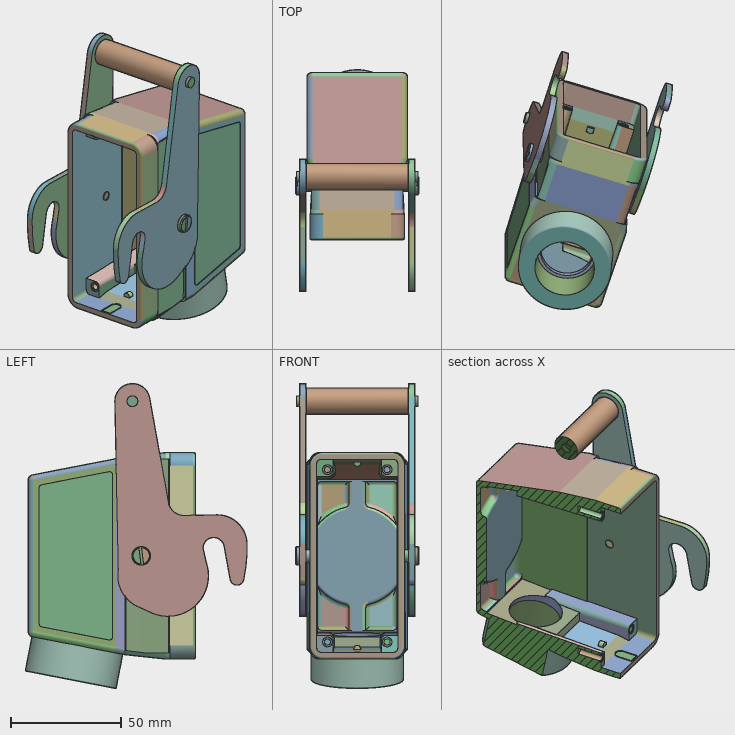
import cadquery as cq
import math


slope = math.radians(11)

back_y = 51.2
back_half_width = 22.85
back_taper_y = 11.5
back_front_y = 7.4
back_front_half_width = 21.8
back_edge_radius = 2.6
back_rim_radius = 2.4
back_front_half_height = 44.8
back_half_height = back_front_half_height - (back_y - back_front_y) * math.tan(slope)

mouth_y = -24.6
mouth_half_width = 21.5
mouth_half_height = 46.8
mouth_corner_radius = 6.0
rim_edge_radius = 1.0
collar_back_y = -13.0
neck_full_height_y = -11.2
neck_edge_radius = 4.5
side_recess_half_width = 20.6
side_recess_half_height = 43.9
side_recess_slant = 0.7

panel_recess_depth = 0.3
panel_front_y = 12.9
panel_back_y = 46.2
panel_roof_gap = 5.3
panel_corner_radius = 1.5

outlet_diameter = 42.0
outlet_end_y = 31.95
outlet_end_z = -56.15
outlet_length = 20.0
outlet_edge_radius = 0.5
outlet_bore_diameter = 26.9
outlet_bore_depth = 17.0
outlet_through_diameter = 24.0
outlet_through_depth = 30.0

wall_drop = 2.85
opening_half_width = 18.35
opening_half_height = 43.7
opening_corner_radius = 2.0
inner_half_width = 17.9
seat_y = -14.5
seat_slope_end_y = -9.0
seat_slope_end_z = 42.5
pad_y = 45.5
pocket_floor_y = 48.7
pad_radius = 22.6
pad_edge_radius = 1.2
pad_strip_half_width = 3.8
pocket_corner_radius = 1.8
pocket_end_gap = 0.8
pocket_floor_radius = 1.8

post_inner_x = 10.9
post_inner_z = 36.0
post_back_y = 30.0
post_edge_radius = 2.0
post_draft = 1.5
screw_x = 13.5
screw_z = 39.0
screw_hole_diameter = 2.8
screw_counterbore_diameter = 4.4
screw_counterbore_depth = 0.5
screw_hole_depth = 12.0

outlet_block_y = 11.0
outlet_block_z = -36.8
keyway_width = 5.0
keyway_depth = 0.4
keyway_end_y = -14.0
key_front_y = -8.2
key_width = 3.2
key_height = 3.2
key_length = 2.5

plate_inner_x = 23.3
plate_thickness = 2.75
plate_outer_x = plate_inner_x + plate_thickness
grip_y = 4.0
grip_z = 70.0
head_radius = 8.0
arm_angle = 9.8
lobe_y = -12.1
lobe_z = -9.0
lobe_radius = 18.4
lobe_flank_angle = 23
lobe_end_angle = 20
heel_start = (10.4, -6.0)
heel_middle = (7.9, -17.7)
heel_end = (2.8, -22.4)
armpit_start = (-19.0, 18.3)
armpit_middle = (-14.7, 20.0)
armpit_end = (-12.4, 23.8)
hook_y = -34.5
hook_z = 5.15
hook_radius = 26.9 / 2
slot_y = -32.8
slot_z = 3.5
slot_radius = 4.75
slot_angle = 10
tip_y = -43.35
tip_z = -10.1
tip_radius = 3.2
hook_outer_middle = (-47.6, -3.5)

grip_diameter = 12.0
grip_chamfer = 0.3
grip_pin_diameter = 4.9
grip_pin_half_length = 27.6

pivot_half_length = 55.8 / 2
pivot_head_diameter = 8.4
pivot_head_chamfer = 0.5
pivot_shank_diameter = 5.6
pivot_tip_diameter = 4.0
pivot_tip_x = 18.0
pivot_slot_width = 1.2
pivot_slot_depth = 0.9
pivot_slot_angle = 7.0

SIDES = (-1, 1)
margin = 0.5


def box_between(x0, x1, y0, y1, z0, z1):
    """Axis-aligned box between two corners."""
    return cq.Workplane("XY").box(x1 - x0, y1 - y0, z1 - z0, centered=False).translate((x0, y0, z0))


def side_prism(points, half_width):
    """Prism with the given Y-Z outline, centred on X = 0."""
    return cq.Workplane("YZ").polyline(points).close().extrude(half_width, both=True)


def rod_x(diameter, x0, x1, y=0.0, z=0.0):
    """Round bar along X."""
    return cq.Workplane("YZ", origin=(x0, 0, 0)).center(y, z).circle(diameter / 2).extrude(x1 - x0)


def mirrored_outline(upper_points):
    """Y-Z outline closed by the mirror image of its upper half."""
    return upper_points + [(y, -z) for y, z in reversed(upper_points)]


def roof_z(y):
    """Outer roof height of the back section."""
    return back_front_half_height - (y - back_front_y) * math.tan(slope)


def make_back_section():
    outline = mirrored_outline([(back_front_y, back_front_half_height), (back_y, back_half_height)])
    plan = [
        (back_front_half_width, back_front_y),
        (back_half_width, back_taper_y),
        (back_half_width, back_y),
        (-back_half_width, back_y),
        (-back_half_width, back_taper_y),
        (-back_front_half_width, back_front_y),
    ]
    block = cq.Workplane("XY").polyline(plan).close().extrude(mouth_half_height, both=True)
    block = block.intersect(side_prism(outline, back_half_width))
    block = block.edges("not(<Y)").edges("not(|Z)").edges("not(|X)").fillet(back_edge_radius)
    return block.faces(">Y").edges().fillet(back_rim_radius)


def make_neck():
    outline = mirrored_outline([
        (collar_back_y, mouth_half_height),
        (neck_full_height_y, mouth_half_height),
        (back_front_y, back_front_half_height),
        (back_taper_y, roof_z(back_taper_y)),
    ])
    neck = side_prism(outline, mouth_half_width)
    return neck.edges("not(|X)").edges("not(|Z)").fillet(neck_edge_radius)


def make_collar():
    collar = box_between(-mouth_half_width, mouth_half_width, mouth_y, collar_back_y,
                         -mouth_half_height, mouth_half_height)
    collar = collar.edges("|Y").fillet(mouth_corner_radius)
    return collar.faces("<Y").edges().fillet(rim_edge_radius)


def outlet_cylinder(diameter, length):
    """Cylinder on the tilted outlet axis, starting at the outlet's open end."""
    axis = cq.Vector(0, -math.sin(slope), math.cos(slope))
    plane = cq.Plane(origin=(0, outlet_end_y, outlet_end_z), xDir=(1, 0, 0), normal=axis)
    return cq.Workplane(plane).circle(diameter / 2).extrude(length)


def make_outlet():
    outlet = outlet_cylinder(outlet_diameter, outlet_length)
    return outlet.faces("<Z").edges().fillet(outlet_edge_radius)


def make_side_recess(side):
    """Shallow pocket beside the lever plate, with slanted end walls."""
    points = [
        (side_recess_half_width, collar_back_y + side_recess_slant),
        (back_half_width, collar_back_y - side_recess_slant),
        (back_half_width, back_front_y + side_recess_slant),
        (side_recess_half_width, back_front_y - side_recess_slant),
    ]
    plan = cq.Workplane("XY").polyline([(side * x, y) for x, y in points]).close()
    return plan.extrude(side_recess_half_height, both=True)


def make_panel_recess(side):
    """Label panel sunk into the side of the back section."""
    outline = mirrored_outline([
        (panel_front_y, roof_z(panel_front_y) - panel_roof_gap),
        (panel_back_y, roof_z(panel_back_y) - panel_roof_gap),
    ])
    panel = side_prism(outline, panel_recess_depth).edges("|X").fillet(panel_corner_radius)
    return panel.translate((side * back_half_width, 0, 0))


def make_cavity():
    mouth = box_between(-opening_half_width, opening_half_width, mouth_y, seat_y,
                        -opening_half_height, opening_half_height)
    mouth = mouth.edges("|Y").fillet(opening_corner_radius)
    front = side_prism(mirrored_outline([
        (seat_y, opening_half_height),
        (seat_slope_end_y, seat_slope_end_z),
        (back_taper_y, roof_z(back_taper_y) - wall_drop),
    ]), opening_half_width)
    back = side_prism(mirrored_outline([
        (back_taper_y, roof_z(back_taper_y) - wall_drop),
        (pad_y, roof_z(pad_y) - wall_drop),
    ]), inner_half_width)
    return mouth.union(front).union(back)


def make_back_pockets():
    """Recess in the back wall around a round pad with a strip running up and down from it."""
    half_height = roof_z(pad_y) - wall_drop - pocket_end_gap
    recess = box_between(-inner_half_width, inner_half_width, pad_y, pocket_floor_y,
                         -half_height, half_height)
    recess = recess.edges("|Y").fillet(pocket_corner_radius)
    recess = recess.faces(">Y").edges().fillet(pocket_floor_radius)

    front = cq.Workplane("XZ", origin=(0, pad_y, 0))
    pad = front.circle(pad_radius).extrude(pad_y - pocket_floor_y)
    strip = front.rect(2 * pad_strip_half_width, 2 * mouth_half_height).extrude(pad_y - pocket_floor_y)
    pad = pad.union(strip)
    for side_x in SIDES:
        for side_z in SIDES:
            junction_z = side_z * math.sqrt(pad_radius**2 - pad_strip_half_width**2)
            junction = cq.selectors.NearestToPointSelector(
                (side_x * pad_strip_half_width, (pad_y + pocket_floor_y) / 2, junction_z))
            pad = pad.edges(junction).fillet(pocket_corner_radius)
    floor = box_between(-mouth_half_height, mouth_half_height, pocket_floor_y, back_y,
                        -mouth_half_height, mouth_half_height)
    pad = pad.faces("<Y").edges("not(|X)").fillet(pad_edge_radius)
    pad = pad.union(floor)
    foot_edges = cq.selectors.BoxSelector(
        (-pad_radius - margin, pocket_floor_y - margin, -mouth_half_height + margin),
        (pad_radius + margin, pocket_floor_y + margin, mouth_half_height - margin))
    return recess.cut(pad.edges(foot_edges).fillet(pocket_floor_radius))


def make_post(side_x, side_z):
    """Corner post that carries a screw hole in its front face."""
    x0, x1 = sorted((side_x * post_inner_x, side_x * (opening_half_width + post_edge_radius)))
    z0, z1 = sorted((side_z * post_inner_z, side_z * (opening_half_height + post_edge_radius)))
    seat = cq.Plane(origin=((x0 + x1) / 2, seat_y, (z0 + z1) / 2), xDir=(1, 0, 0), normal=(0, 1, 0))
    outline = cq.Sketch().rect(x1 - x0, z1 - z0).vertices().fillet(post_edge_radius)
    return cq.Workplane(seat).placeSketch(outline).extrude(post_back_y - seat_y, taper=-post_draft)


def make_screw_hole(side_x, side_z):
    """Counterbored screw hole in the front face of a corner post."""
    seat = cq.Workplane("XZ", origin=(side_x * screw_x, seat_y, side_z * screw_z))
    hole = seat.circle(screw_hole_diameter / 2).extrude(-screw_hole_depth)
    counterbore = seat.circle(screw_counterbore_diameter / 2).extrude(-screw_counterbore_depth)
    return hole.union(counterbore)


def make_floor_block():
    """Raised floor around the cable outlet, with a wall facing the mouth between the posts."""
    floor_z = -roof_z(pad_y) + wall_drop
    return side_prism([
        (outlet_block_y, -back_front_half_height),
        (outlet_block_y, outlet_block_z),
        (pad_y, floor_z),
        (pad_y, -back_front_half_height),
    ], opening_half_width)


def make_keyway():
    """Shallow round-ended groove in the floor, from the mouth to the seat."""
    radius = keyway_width / 2
    z0 = -opening_half_height - keyway_depth
    bottom = cq.Workplane("XY", origin=(0, 0, z0))
    end = bottom.center(0, keyway_end_y - radius).circle(radius).extrude(2 * keyway_depth)
    return end.union(box_between(-radius, radius, mouth_y + rim_edge_radius, keyway_end_y - radius,
                                 z0, z0 + 2 * keyway_depth))


def make_key(side_z):
    """Round-nosed key on the roof or floor between the posts."""
    nose_z = opening_half_height - key_height + key_width / 2
    z0, z1 = sorted((side_z * nose_z, side_z * (opening_half_height + margin)))
    body = box_between(-key_width / 2, key_width / 2, key_front_y, key_front_y + key_length, z0, z1)
    nose = cq.Workplane("XZ", origin=(0, key_front_y, side_z * nose_z)).circle(key_width / 2)
    return body.union(nose.extrude(-key_length))


def make_hollow():
    """Inside space of the hood, less the posts, floor block and keys that stand in it."""
    hollow = make_cavity().union(make_back_pockets())
    for side_x in SIDES:
        for side_z in SIDES:
            hollow = hollow.cut(make_post(side_x, side_z))
    hollow = hollow.cut(make_floor_block())
    for side_z in SIDES:
        hollow = hollow.cut(make_key(side_z))
    return hollow.union(make_keyway())


def make_hood():
    hood = make_back_section().union(make_neck()).union(make_collar()).union(make_outlet())
    for side in SIDES:
        hood = hood.cut(make_side_recess(side)).cut(make_panel_recess(side))
    hood = hood.cut(make_hollow())
    for side_x in SIDES:
        for side_z in SIDES:
            hood = hood.cut(make_screw_hole(side_x, side_z))
    hood = hood.cut(outlet_cylinder(outlet_bore_diameter, outlet_bore_depth))
    hood = hood.cut(outlet_cylinder(outlet_through_diameter, outlet_through_depth))
    return hood.cut(rod_x(pivot_tip_diameter, -back_half_width, back_half_width))


def polar(y, z, radius, degrees):
    """Point on a circle in the Y-Z plane, with the angle counted from +Y towards +Z."""
    angle = math.radians(degrees)
    return (y + radius * math.cos(angle), z + radius * math.sin(angle))


def make_plate(x0):
    """Side plate: arm up to the grip, round lobe below the pivot, hook towards the mouth."""
    head_back = (grip_y + head_radius, grip_z)
    head_top = (grip_y, grip_z + head_radius)
    head_front = polar(grip_y, grip_z, head_radius, 180 - arm_angle)
    lobe_start = polar(lobe_y, lobe_z, lobe_radius, lobe_flank_angle - 90)
    lobe_middle = polar(lobe_y, lobe_z, lobe_radius, -135)
    lobe_end = polar(lobe_y, lobe_z, lobe_radius, -180 - lobe_end_angle)
    slot_near = (slot_y + slot_radius, slot_z)
    slot_top = (slot_y, slot_z + slot_radius)
    slot_far = polar(slot_y, slot_z, slot_radius, 180 - slot_angle)
    tip_inner = polar(tip_y, tip_z, tip_radius, -slot_angle)
    tip_bottom = (tip_y, tip_z - tip_radius)
    tip_outer = (tip_y - tip_radius, tip_z)
    hook_front = (hook_y - hook_radius, hook_z)
    hook_shoulder = polar(hook_y, hook_z, hook_radius, 135)
    hook_top = (hook_y, hook_z + hook_radius)
    outline = (
        cq.Workplane("YZ", origin=(x0, 0, 0))
        .moveTo(*head_back)
        .lineTo(*heel_start)
        .threePointArc(heel_middle, heel_end)
        .lineTo(*lobe_start)
        .threePointArc(lobe_middle, lobe_end)
        .lineTo(*slot_near)
        .threePointArc(slot_top, slot_far)
        .lineTo(*tip_inner)
        .threePointArc(tip_bottom, tip_outer)
        .threePointArc(hook_outer_middle, hook_front)
        .threePointArc(hook_shoulder, hook_top)
        .lineTo(*armpit_start)
        .threePointArc(armpit_middle, armpit_end)
        .lineTo(*head_front)
        .threePointArc(head_top, head_back)
        .close()
    )
    return outline.extrude(plate_thickness)


def make_pivot():
    """Slotted pivot stud on the +X side."""
    head = rod_x(pivot_head_diameter, plate_outer_x, pivot_half_length)
    head = head.faces(">X").edges().chamfer(pivot_head_chamfer)
    slot = cq.Workplane("XY").box(2 * pivot_slot_depth, pivot_slot_width, 2 * pivot_head_diameter)
    slot = slot.rotate((0, 0, 0), (1, 0, 0), -pivot_slot_angle).translate((pivot_half_length, 0, 0))
    shank = rod_x(pivot_shank_diameter, side_recess_half_width, plate_outer_x)
    tip = rod_x(pivot_tip_diameter, pivot_tip_x, side_recess_half_width)
    return head.cut(slot).union(shank).union(tip)


def make_lever():
    lever = rod_x(grip_pin_diameter, -grip_pin_half_length, grip_pin_half_length, grip_y, grip_z)
    for x0 in (plate_inner_x, -plate_outer_x):
        lever = lever.union(make_plate(x0))
    pivot = make_pivot()
    return lever.union(pivot).union(pivot.mirror("YZ"))


def make_grip():
    """Sleeve that turns on the lever's cross pin."""
    sleeve = rod_x(grip_diameter, -plate_inner_x, plate_inner_x, grip_y, grip_z)
    sleeve = sleeve.faces("|X").edges().chamfer(grip_chamfer)
    return sleeve.cut(rod_x(grip_pin_diameter, -plate_inner_x, plate_inner_x, grip_y, grip_z))


hood = make_hood()
lever = make_lever()
grip = make_grip()

result = cq.Compound.makeCompound([*hood.solids().vals(), *lever.solids().vals(), *grip.solids().vals()])